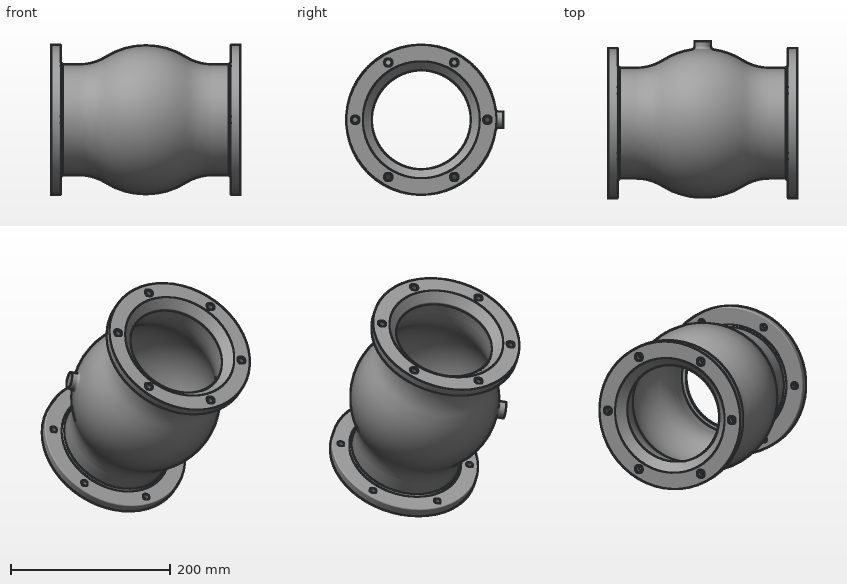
import cadquery as cq
import math

length = 237.5
half_length = length / 2
neck_radius = 69.85
bulb_radius = 93.8
shoulder_radius = 62.0
wall = 2.6

flange_radius = 94.5
flange_thickness = 12.0
rim_fillet = 1.5
weld_leg = 2.5

mouth_radius = 73.5
mouth_depth = 10.6
lip_radius = 62.0
lip_fillet = 1.5
lip_end_depth = 13.5
bore_radius = neck_radius - wall

bolt_count = 6
bolt_circle_radius = 83.0
bolt_hole_diameter = 8.5
bolt_hole_chamfer = 1.0

boss_radius = 10.5
boss_top = 103.0
boss_fillet = 4.0


def shoulder(neck, bulb, blend):
    """Points of the arc that blends a neck into the bulb: neck end, middle, bulb end (x >= 0)."""
    centre_r = neck + blend
    centre_x = math.sqrt((bulb + blend) ** 2 - centre_r ** 2)
    sweep = math.atan2(centre_x, centre_r)

    def on_arc(angle):
        return (centre_x - blend * math.sin(angle), centre_r - blend * math.cos(angle))

    return on_arc(0), on_arc(sweep / 2), on_arc(sweep)


def mirrored(point):
    return (-point[0], point[1])


def add_bulb(sketch, neck, bulb, blend):
    """Continue a profile from the -X neck, over the bulb, to the start of the +X neck."""
    neck_end, middle, bulb_end = shoulder(neck, bulb, blend)
    return (
        sketch.lineTo(*mirrored(neck_end))
        .threePointArc(mirrored(middle), mirrored(bulb_end))
        .threePointArc((0, bulb), bulb_end)
        .threePointArc(middle, neck_end)
    )


def revolve_about_x(sketch):
    return sketch.close().revolve(360, (0, 0, 0), (1, 0, 0))


def make_shell_outside():
    sketch = cq.Workplane("XY").moveTo(-half_length, 0).lineTo(-half_length, neck_radius)
    sketch = add_bulb(sketch, neck_radius, bulb_radius, shoulder_radius)
    return revolve_about_x(sketch.lineTo(half_length, neck_radius).lineTo(half_length, 0))


def rounded_lip():
    """Points of the arc from the mouth cone to the cylindrical lip: cone end, middle, lip end (x >= 0)."""
    cone_angle = math.atan2(mouth_radius - lip_radius, mouth_depth)
    centre_x = half_length - mouth_depth - lip_fillet * math.tan(cone_angle / 2)
    centre_r = lip_radius + lip_fillet

    def on_arc(angle):
        return (centre_x + lip_fillet * math.sin(angle), centre_r - lip_fillet * math.cos(angle))

    return on_arc(cone_angle), on_arc(cone_angle / 2), on_arc(0)


def make_cavity():
    """Cavity with a conical mouth, a rounded lip and an undercut bore at both ends."""
    lip_back = half_length - lip_end_depth
    cone_end, middle, lip_start = rounded_lip()
    sketch = (
        cq.Workplane("XY")
        .moveTo(-half_length, 0)
        .lineTo(-half_length, mouth_radius)
        .lineTo(*mirrored(cone_end))
        .threePointArc(mirrored(middle), mirrored(lip_start))
        .lineTo(-lip_back, lip_radius)
        .lineTo(-lip_back, bore_radius)
    )
    sketch = add_bulb(sketch, bore_radius, bulb_radius - wall, shoulder_radius + wall)
    sketch = (
        sketch.lineTo(lip_back, bore_radius)
        .lineTo(lip_back, lip_radius)
        .lineTo(*lip_start)
        .threePointArc(middle, cone_end)
        .lineTo(half_length, mouth_radius)
        .lineTo(half_length, 0)
    )
    return revolve_about_x(sketch)


def make_flange():
    """Flange at the -X end, with a rounded back rim and a conical weld bead onto the neck."""
    back = -half_length + flange_thickness
    rim_inset = rim_fillet * (1 - math.sqrt(0.5))
    sketch = (
        cq.Workplane("XY")
        .moveTo(-half_length, 0)
        .lineTo(-half_length, flange_radius)
        .lineTo(back - rim_fillet, flange_radius)
        .threePointArc(
            (back - rim_inset, flange_radius - rim_inset),
            (back, flange_radius - rim_fillet),
        )
        .lineTo(back, neck_radius + weld_leg)
        .lineTo(back + weld_leg, neck_radius)
        .lineTo(back + weld_leg, 0)
    )
    return revolve_about_x(sketch)


def make_bolt_holes():
    """Bolt hole cutters for the -X flange, chamfered at the outer face."""
    radius = bolt_hole_diameter / 2
    face = cq.Workplane("YZ", origin=(-half_length, 0, 0))
    pattern = face.polarArray(bolt_circle_radius, 0, 360, bolt_count)
    drills = pattern.circle(radius).extrude(flange_thickness)
    countersink = cq.Solid.makeCone(
        radius + bolt_hole_chamfer, radius, bolt_hole_chamfer
    )
    return drills.union(pattern.eachpoint(lambda place: countersink.moved(place), True))


def make_boss():
    """Boss along +Y, with a concave fillet tangent to the boss and to the bulb."""
    root = bulb_radius - wall / 2
    fillet_x = boss_radius + boss_fillet
    fillet_y = math.sqrt((bulb_radius + boss_fillet) ** 2 - fillet_x ** 2)
    sweep = math.pi / 2 - math.atan2(fillet_x, fillet_y)

    def on_arc(angle):
        return (fillet_x - boss_fillet * math.cos(angle), fillet_y - boss_fillet * math.sin(angle))

    bulb_contact = on_arc(sweep)
    return (
        cq.Workplane("XY")
        .moveTo(0, root)
        .lineTo(bulb_contact[0], root)
        .lineTo(*bulb_contact)
        .threePointArc(on_arc(sweep / 2), on_arc(0))
        .lineTo(boss_radius, boss_top)
        .lineTo(0, boss_top)
        .close()
        .revolve(360, (0, 0, 0), (0, 1, 0))
    )


end_flange = make_flange()
end_holes = make_bolt_holes()
result = (
    make_shell_outside()
    .union(end_flange)
    .union(end_flange.mirror("YZ"))
    .union(make_boss())
    .cut(make_cavity())
    .cut(end_holes)
    .cut(end_holes.mirror("YZ"))
)